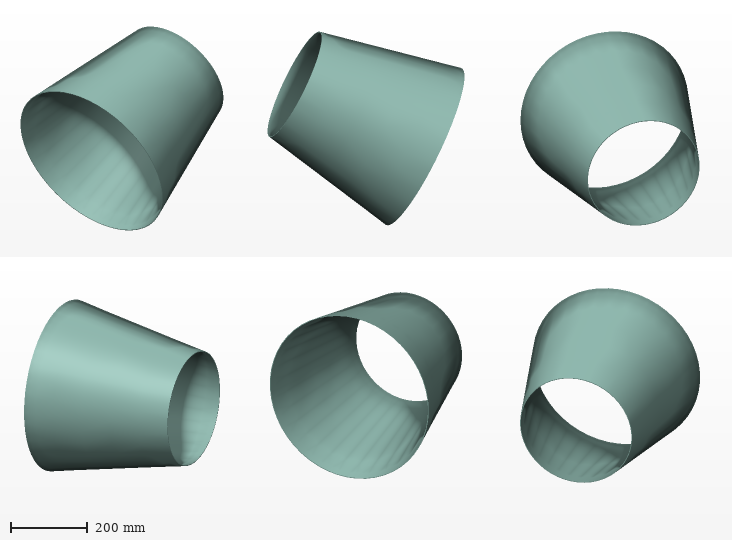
import cadquery as cq

large_diameter = 454.0
small_diameter = 304.0
length = 381.0
wall = 2.0

large_radius = large_diameter / 2
small_radius = small_diameter / 2

wall_section = [
    (large_radius - wall, 0),
    (large_radius, 0),
    (small_radius, length),
    (small_radius - wall, length),
]

result = (
    cq.Workplane("XY")
    .polyline(wall_section)
    .close()
    .revolve(360, (0, 0, 0), (0, 1, 0))
)